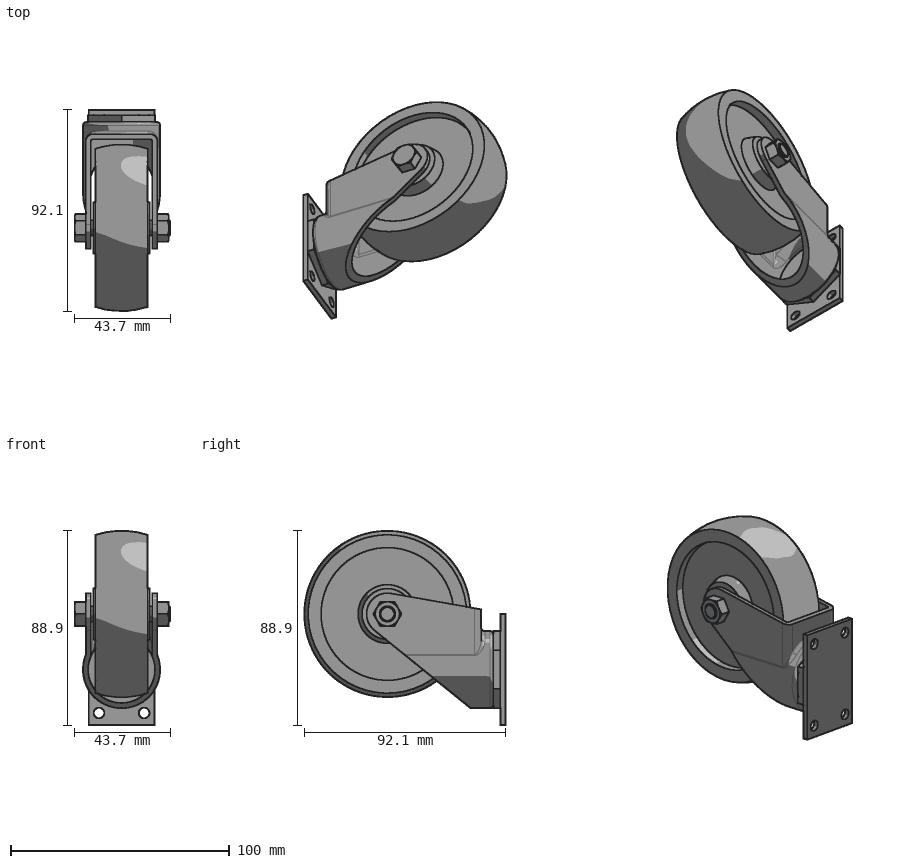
import cadquery as cq
import math


tread_radius = 38.1
wheel_width = 23.81
recess_radius = 60.66 / 2
recess_depth = 4.0
hub_width = 26.0
hub_face_radius = 11.6
hub_base_radius = 13.4
hub_bulge = 0.1

sheet = 2.38
fork_half_width = 16.35
fork_web_y = 42.86
bend_radius = 3.175
blend_radius = 1.6
fork_end_radius = 9.525
top_slope = 10.0
bottom_slope = 39.0

plate_width = 30.16
plate_height = 50.8
plate_thickness = 2.38
plate_back_y = 53.98
plate_hole_diameter = 4.76
plate_hole_spacing_x = 20.64
plate_hole_spacing_z = 39.69
swivel_z = -plate_height / 2
drum_radius = 35.34 / 2
drum_cap_y = 48.42
drum_edge_fillet = 1.6
swivel_hex_flats = 30.7

axle_diameter = 7.15
bolt_hex_flats = 11.11
bolt_head_height = 5.13
nut_height = 5.28
bolt_tip_length = 0.6
bolt_tip_chamfer = 0.5
hex_chamfer_angle = 30.0

open_end_y = -2 * fork_end_radius


def make_wheel():
    """Crowned wheel with a round recess and a raised hub on both sides."""
    half_width = wheel_width / 2
    half_hub = hub_width / 2
    floor = half_width - recess_depth
    edge_radius = math.sqrt(tread_radius**2 - half_width**2)
    bore_radius = axle_diameter / 2
    hub_mid_x = (half_hub + floor) / 2
    hub_mid_radius = (hub_face_radius + hub_base_radius) / 2 + hub_bulge
    section = (
        cq.Workplane("XY")
        .moveTo(-half_hub, bore_radius)
        .lineTo(-half_hub, hub_face_radius)
        .threePointArc((-hub_mid_x, hub_mid_radius), (-floor, hub_base_radius))
        .lineTo(-floor, recess_radius)
        .lineTo(-half_width, recess_radius)
        .lineTo(-half_width, edge_radius)
        .threePointArc((0, tread_radius), (half_width, edge_radius))
        .lineTo(half_width, recess_radius)
        .lineTo(floor, recess_radius)
        .lineTo(floor, hub_base_radius)
        .threePointArc((hub_mid_x, hub_mid_radius), (half_hub, hub_face_radius))
        .lineTo(half_hub, bore_radius)
        .close()
    )
    return section.revolve(360, (0, 0, 0), (1, 0, 0))


def fork_envelope():
    """Solid block of the fork legs blended into the swivel drum."""
    top_z = fork_end_radius
    block = (
        cq.Workplane("XY")
        .box(2 * fork_half_width, fork_web_y - open_end_y, top_z - swivel_z, centered=(True, False, False))
        .translate((0, open_end_y, swivel_z))
        .edges("|Z and >Y")
        .fillet(bend_radius)
    )
    drum = (
        cq.Workplane("XZ", origin=(0, drum_cap_y, swivel_z))
        .circle(drum_radius)
        .extrude(drum_cap_y - open_end_y)
    )
    seam_arc = cq.selectors.BoxSelector(
        (-fork_half_width, fork_web_y - blend_radius, swivel_z),
        (fork_half_width, fork_web_y + blend_radius, 0),
    )
    envelope = block.union(drum).edges(seam_arc).edges("%CIRCLE").fillet(blend_radius)
    return envelope.faces(">Y").edges().fillet(drum_edge_fillet)


def fork_side_profile():
    """Side outline of the fork: tapered legs with a round end at the axle."""
    top = math.radians(top_slope)
    bottom = math.radians(bottom_slope)
    top_tangent = (fork_end_radius * math.sin(top), fork_end_radius * math.cos(top))
    bottom_tangent = (-fork_end_radius * math.sin(bottom), -fork_end_radius * math.cos(bottom))
    lowest_z = swivel_z - drum_radius
    cap_top_z = top_tangent[1] - (drum_cap_y - top_tangent[0]) * math.tan(top)
    lowest_y = bottom_tangent[0] + (bottom_tangent[1] - lowest_z) / math.tan(bottom)
    return (
        cq.Workplane("YZ")
        .moveTo(*top_tangent)
        .threePointArc((-fork_end_radius, 0), bottom_tangent)
        .lineTo(lowest_y, lowest_z)
        .lineTo(drum_cap_y, lowest_z)
        .lineTo(drum_cap_y, cap_top_z)
        .close()
        .extrude(2 * drum_radius, both=True)
    )


def make_fork():
    """Sheet metal fork: the envelope hollowed from its front and top, then trimmed to its side outline."""
    shell = fork_envelope().faces("<Y or >Z").shell(-sheet)
    return shell.intersect(fork_side_profile())


def make_plate():
    """Mounting plate with four holes and the hexagon that joins it to the drum."""
    plate_front_y = plate_back_y - plate_thickness
    plate = (
        cq.Workplane("XZ", origin=(0, plate_back_y, swivel_z))
        .rect(plate_width, plate_height)
        .rarray(plate_hole_spacing_x, plate_hole_spacing_z, 2, 2)
        .circle(plate_hole_diameter / 2)
        .extrude(plate_thickness)
    )
    swivel_hex = (
        cq.Workplane("XZ", origin=(0, plate_front_y, swivel_z))
        .polygon(6, swivel_hex_flats, circumscribed=True)
        .extrude(plate_front_y - drum_cap_y)
    )
    return plate.union(swivel_hex)


def bolt_hex(height):
    """Hexagon standing on the outer face of the +X leg, its outer corners chamfered."""
    corner_radius = bolt_hex_flats / 2 / math.cos(math.pi / 6)
    chamfer_radius = bolt_hex_flats / 2
    chamfer_height = (corner_radius - chamfer_radius) * math.tan(math.radians(hex_chamfer_angle))
    hexagon = (
        cq.Workplane("YZ", origin=(fork_half_width, 0, 0))
        .polygon(6, 2 * corner_radius)
        .extrude(height)
    )
    rounded = (
        cq.Workplane("XY", origin=(fork_half_width, 0, 0))
        .lineTo(0, corner_radius)
        .lineTo(height - chamfer_height, corner_radius)
        .lineTo(height, chamfer_radius)
        .lineTo(height, 0)
        .close()
        .revolve(360, (0, 0, 0), (1, 0, 0))
    )
    return hexagon.intersect(rounded)


def make_bolt():
    """Axle bolt: head on the -X leg, nut and protruding tip on the +X leg."""
    tip_x = fork_half_width + nut_height + bolt_tip_length
    head = bolt_hex(bolt_head_height).mirror("YZ")
    nut = bolt_hex(nut_height)
    shank = (
        cq.Workplane("YZ", origin=(-fork_half_width, 0, 0))
        .circle(axle_diameter / 2)
        .extrude(fork_half_width + tip_x)
        .faces(">X")
        .chamfer(bolt_tip_chamfer)
    )
    return shank.union(head).union(nut)


frame = make_fork().union(make_plate()).union(make_bolt())
wheel = make_wheel()

result = cq.Compound.makeCompound([frame.val(), wheel.val()])